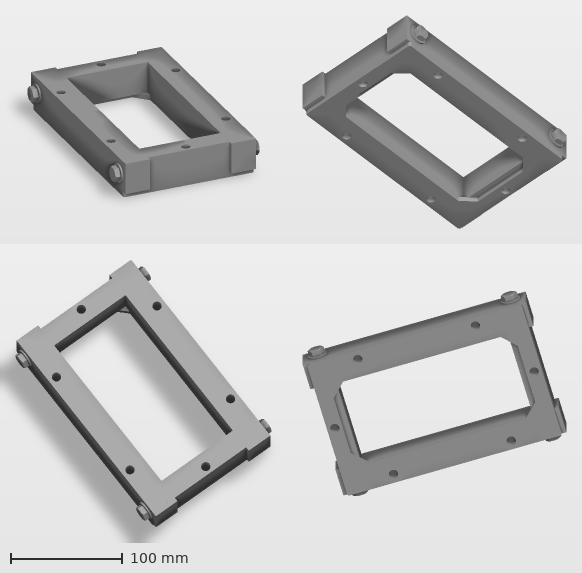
import cadquery as cq
import math

length = 208.0
total_width = 141.5
total_height = 35.0
frame_width = 128.0
plate_thickness = 5.0
beam_height = total_height - plate_thickness

long_beam_width = 24.1
cross_beam_width = 20.0
cross_beam_length = 102.1
cross_beam_inset = 4.0

hole_diameter = 8.3
long_hole_x = 55.0
long_hole_y = 56.2
cross_hole_x = 93.0

plate_corner_radius = 2.0
plate_gusset_leg = 6.7

bolt_x = 90.0
washer_diameter = 18.0
washer_thickness = 1.5
collar_diameter = 11.5
collar_thickness = 0.6
hex_across_flats = 13.0
hex_chamfer_drop = 0.6

cross_beam_x = length / 2 - cross_beam_inset - cross_beam_width / 2
long_beam_y = (frame_width - long_beam_width) / 2
plate_length = length - 2 * cross_beam_inset
plate_rail_width = 2 * (plate_length / 2 - cross_hole_x)
opening_length = plate_length - 2 * plate_rail_width
opening_width = frame_width - 2 * long_beam_width
opening_chamfer = plate_gusset_leg + cross_beam_width - plate_rail_width
bolt_z = plate_thickness + beam_height / 2
bolt_height = (total_width - frame_width) / 2
hex_diameter = hex_across_flats / math.cos(math.pi / 6)
SIDES = (-1, 1)


def beam_block(size_x, size_y, x, y):
    """Block of full beam height standing on the base plate."""
    block = cq.Workplane("XY").box(size_x, size_y, beam_height, centered=(True, True, False))
    return block.translate((x, y, plate_thickness))


def vertical_holes(points):
    """Cutter for round holes through the whole assembly height."""
    return cq.Workplane("XY").pushPoints(points).circle(hole_diameter / 2).extrude(total_height)


def make_long_beam(side):
    """Beam along X, notched on its inner face for the ends of both cross beams."""
    beam = beam_block(length, long_beam_width, 0, side * long_beam_y)
    for end in SIDES:
        beam = beam.cut(beam_block(cross_beam_width, cross_beam_length, end * cross_beam_x, 0))
    return beam.cut(vertical_holes([(end * long_hole_x, side * long_hole_y) for end in SIDES]))


def make_cross_beam(end):
    """Beam along Y whose ends sit in the notches of the long beams."""
    beam = beam_block(cross_beam_width, cross_beam_length, end * cross_beam_x, 0)
    return beam.cut(vertical_holes([(end * cross_hole_x, 0)]))


def make_base_plate():
    """Flat frame under the beams, its opening chamfered at the corners."""
    plate = (
        cq.Workplane("XY")
        .rect(plate_length, frame_width)
        .extrude(plate_thickness)
        .edges("|Z")
        .fillet(plate_corner_radius)
    )
    opening = (
        cq.Workplane("XY")
        .rect(opening_length, opening_width)
        .extrude(plate_thickness)
        .edges("|Z")
        .chamfer(opening_chamfer)
    )
    holes = [(x * long_hole_x, y * long_hole_y) for x in SIDES for y in SIDES]
    holes += [(end * cross_hole_x, 0) for end in SIDES]
    return plate.cut(opening).cut(vertical_holes(holes))


def make_bolt_head():
    """Washer, collar and chamfered hexagon stacked along +Z, seated on Z = 0."""
    washer = cq.Workplane("XY").circle(washer_diameter / 2).extrude(washer_thickness)
    collar_top = washer_thickness + collar_thickness
    collar = cq.Workplane("XY").circle(collar_diameter / 2).extrude(collar_top)
    hexagon = (
        cq.Workplane("XY")
        .workplane(offset=collar_top)
        .polygon(6, hex_diameter)
        .extrude(bolt_height - collar_top)
    )
    corner_cone = (
        cq.Workplane("XY")
        .circle(hex_diameter / 2)
        .extrude(bolt_height)
        .faces(">Z")
        .chamfer(hex_chamfer_drop, (hex_diameter - hex_across_flats) / 2)
    )
    return washer.union(collar).union(hexagon.intersect(corner_cone))


def make_bolt(end, side):
    """Bolt head on the outer face of a long beam."""
    bolt = make_bolt_head().rotate((0, 0, 0), (1, 0, 0), -90 * side)
    return bolt.translate((end * bolt_x, side * frame_width / 2, bolt_z))


base_plate = make_base_plate()
long_beams = [make_long_beam(side) for side in SIDES]
cross_beams = [make_cross_beam(end) for end in SIDES]
bolts = [make_bolt(end, side) for end in SIDES for side in SIDES]

bodies = [base_plate, *long_beams, *cross_beams, *bolts]
result = cq.Compound.makeCompound([body.val() for body in bodies])